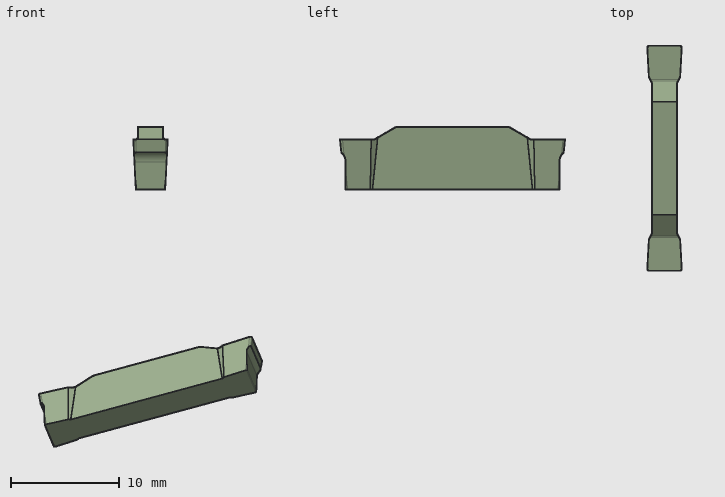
import cadquery as cq
import math

length = 20.7
height = 5.78
shank_width = 2.3
half_length = length / 2

seat_height = 4.62
ramp_top_inset = 5.18
ramp_angle = math.radians(30)
ramp_foot_inset = ramp_top_inset - (height - seat_height) / math.tan(ramp_angle)
ramp_foot_radius = 0.25

edge_width = 3.2
base_width = 2.8
side_taper = 0.054
tip_relief = 0.48
corner_radius = 0.2
neck_start_top = 2.88
neck_start_base = 2.8
neck_end_top = 3.45
neck_end_base = 3.0

land_depth = 1.2
face_inset = 0.52
face_top = 2.57
base_edge_radius = 0.06


def value_at(z, base, top):
    """Size at height z, varying linearly between the base and the seat."""
    return base + (top - base) * z / seat_height


def head_section(z):
    """Horizontal outline of one head at height z, with its tip towards -Y."""
    tip = value_at(z, tip_relief, 0)
    neck_start = value_at(z, neck_start_base, neck_start_top)
    neck_end = value_at(z, neck_end_base, neck_end_top)
    half_at_edge = value_at(z, base_width, edge_width) / 2
    right_side = [
        (half_at_edge - side_taper * tip, tip - half_length),
        (half_at_edge - side_taper * neck_start, neck_start - half_length),
        (shank_width / 2, neck_end - half_length),
        (shank_width / 2, ramp_top_inset - half_length),
    ]
    left_side = [(-x, y) for x, y in reversed(right_side)]
    return right_side + left_side


def make_head():
    """Drafted head with rounded tip corners, as tall as the body."""
    head = (
        cq.Workplane("XY").polyline(head_section(0)).close()
        .workplane(offset=height).polyline(head_section(height)).close()
        .loft(ruled=True, combine=True)
    )
    return head.faces("<Y").edges("<X or >X").fillet(corner_radius)


def make_half_profile():
    """Side profile from the tip to mid-length, extruded past both sides of the head."""
    land_bottom = seat_height - land_depth
    land_inset = tip_relief * land_depth / seat_height
    arc_run = face_inset - land_inset
    arc_drop = land_bottom - face_top
    arc_radius = math.hypot(arc_run, arc_drop) ** 2 / (2 * arc_run)
    face_y = face_inset - half_length
    half_sweep = math.asin(arc_drop / arc_radius) / 2
    arc_middle = (
        face_y - arc_radius * (1 - math.cos(half_sweep)),
        face_top + arc_radius * math.sin(half_sweep),
    )
    foot_tangent = ramp_foot_radius * math.tan(ramp_angle / 2)
    foot_y = ramp_foot_inset - half_length
    foot_end = (
        foot_y + foot_tangent * math.cos(ramp_angle),
        seat_height + foot_tangent * math.sin(ramp_angle),
    )
    return (
        cq.Workplane("YZ").moveTo(0, 0)
        .lineTo(face_y + base_edge_radius, 0)
        .tangentArcPoint((face_y, base_edge_radius), relative=False)
        .lineTo(face_y, face_top)
        .threePointArc(arc_middle, (land_inset - half_length, land_bottom))
        .lineTo(-half_length, seat_height)
        .lineTo(foot_y - foot_tangent, seat_height)
        .tangentArcPoint(foot_end, relative=False)
        .lineTo(ramp_top_inset - half_length, height)
        .lineTo(0, height)
        .close()
        .extrude(edge_width, both=True)
    )


shank_length = length - 2 * ramp_top_inset
shank = cq.Workplane("XY").box(shank_width, shank_length, height, centered=(True, True, False))

head = make_head().intersect(make_half_profile())
result = shank.union(head).union(head.mirror("XZ")).clean()